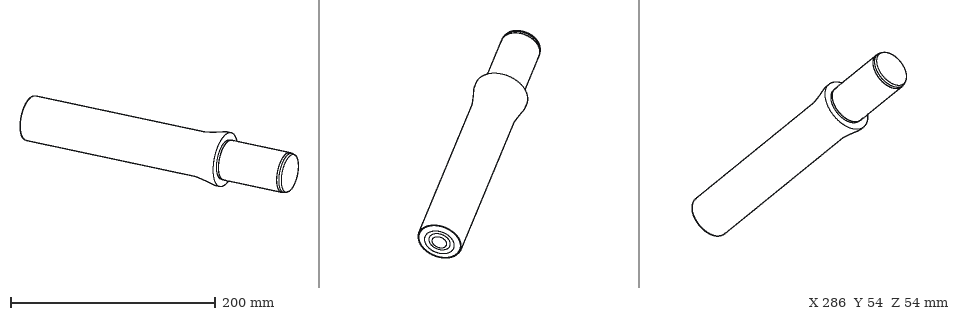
import cadquery as cq

length = 286.0

rod_radius = 45.0 / 2
rim_x = 1.1
rim_length = 1.5
rim_radius = 22.0
rim_inner_radius = 21.2
dome_radius = 20.3
dome_edge_x = 1.0
crest_radius = 15.2
valley_radius = 11.0
inner_crest_radius = 7.5
corrugation_depth = 1.0
flare_start_x = 188.2
flare_end_x = 210.5
flare_sag = 0.3
collar_radius = 54.0 / 2
collar_end_x = 215.5

shank_radius = 40.0 / 2
relief_radius = 39.5 / 2
neck_length = 2.3
tip_length = 4.5
tip_chamfer_length = 2.3
tip_chamfer_height = 1.0


def revolve_about_x(profile):
    return profile.close().revolve(360, (0, 0, 0), (1, 0, 0))


def make_probe():
    flare_middle = (
        (flare_start_x + flare_end_x) / 2,
        (rod_radius + collar_radius) / 2 - flare_sag,
    )
    profile = (
        cq.Workplane("XY")
        .moveTo(corrugation_depth, 0)
        .lineTo(0, inner_crest_radius)
        .lineTo(corrugation_depth, valley_radius)
        .lineTo(0, crest_radius)
        .lineTo(dome_edge_x, dome_radius)
        .lineTo(rim_x, rim_inner_radius)
        .lineTo(rim_x, rim_radius)
        .lineTo(rim_x + rim_length, rod_radius)
        .lineTo(flare_start_x, rod_radius)
        .threePointArc(flare_middle, (flare_end_x, collar_radius))
        .lineTo(collar_end_x, collar_radius)
        .lineTo(collar_end_x, 0)
    )
    return revolve_about_x(profile)


def make_shank():
    profile = (
        cq.Workplane("XY")
        .moveTo(collar_end_x, 0)
        .lineTo(collar_end_x, relief_radius)
        .lineTo(collar_end_x + neck_length, relief_radius)
        .lineTo(collar_end_x + neck_length, shank_radius)
        .lineTo(length - tip_length, shank_radius)
        .lineTo(length - tip_length, relief_radius)
        .lineTo(length - tip_chamfer_length, relief_radius)
        .lineTo(length, relief_radius - tip_chamfer_height)
        .lineTo(length, 0)
    )
    return revolve_about_x(profile)


probe = make_probe()
shank = make_shank()
result = cq.Compound.makeCompound([probe.val(), shank.val()])